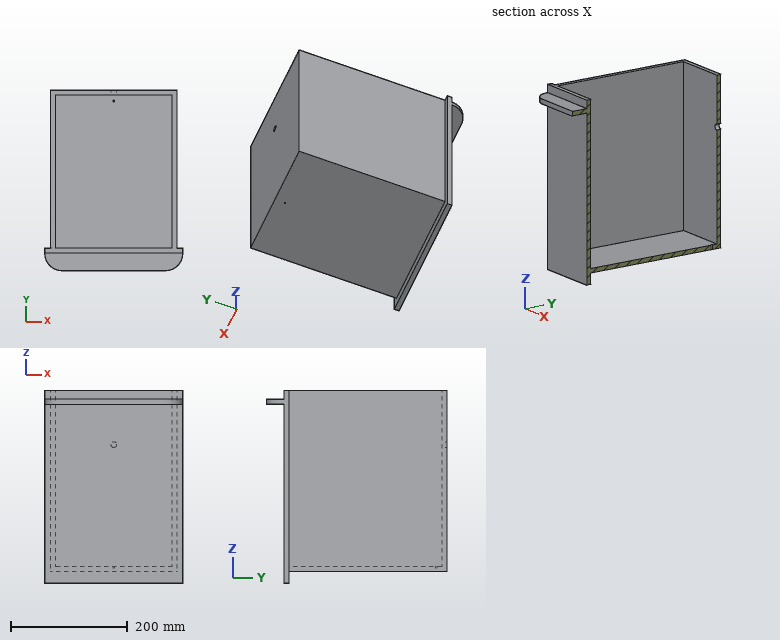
import cadquery as cq

panel_width = 237.0
panel_height = 331.0
board_thickness = 9.0

overall_depth = 310.0
handle_depth = 30.0
side_overhang = 10.0
bottom_overhang = 20.2
box_width = panel_width - 2 * side_overhang
box_back = overall_depth - handle_depth
cavity_width = box_width - 2 * board_thickness
cavity_back = box_back - board_thickness

handle_drop = 15.0
handle_corner_radius = 29.8

wall_hole_diameter = 10.0
wall_hole_drop = 93.0
floor_hole_diameter = 2.5
floor_hole_inset = 10.0


def block(width, y_start, y_end, z_bottom, z_top):
    """Box centred on X = 0 between the given Y and Z limits."""
    return (
        cq.Workplane("XY", origin=(0, y_start, z_bottom))
        .box(width, y_end - y_start, z_top - z_bottom, centered=(True, False, False))
    )


def make_box():
    """Box with side walls, a back wall and a floor; the panel closes its front."""
    shell = block(box_width, board_thickness, box_back, bottom_overhang, panel_height)
    floor_top = bottom_overhang + board_thickness
    cavity = block(cavity_width, board_thickness, cavity_back, floor_top, panel_height)
    return shell.cut(cavity)


def make_handle():
    """Full-width ledge with rounded front corners."""
    top = panel_height - handle_drop
    ledge = block(panel_width, -handle_depth, 0, top - board_thickness, top)
    return ledge.edges("|Z and <Y").fillet(handle_corner_radius)


def make_wall_hole():
    """Horizontal cutter through the back wall."""
    return (
        cq.Workplane("XZ", origin=(0, box_back, panel_height - wall_hole_drop))
        .circle(wall_hole_diameter / 2)
        .extrude(board_thickness)
    )


def make_floor_hole():
    """Vertical cutter through the floor, close to the back wall."""
    return (
        cq.Workplane("XY", origin=(0, cavity_back - floor_hole_inset, bottom_overhang))
        .circle(floor_hole_diameter / 2)
        .extrude(board_thickness)
    )


panel = block(panel_width, 0, board_thickness, 0, panel_height)
result = panel.union(make_box()).union(make_handle())
result = result.cut(make_wall_hole()).cut(make_floor_hole())